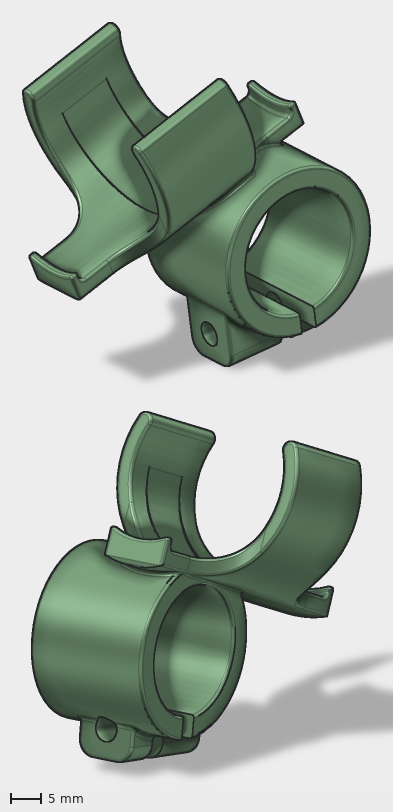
import cadquery as cq
import math

BORE_RADIUS = 11.1
RING_RADIUS = 15.1
RING_WIDTH = 22.75
RING_CENTRE_X = 5.7
RING_EDGE_FILLET = 0.5
CLAMP_TILT = 8.0

SLOT_WIDTH = 3.0
LUG_WIDTH = 11.0
LUG_REACH = 19.7
LUG_CORNER_RADIUS = 3.0
LUG_EDGE_FILLET = 0.5
LUG_ROOT_FILLET = 1.0
FRONT_LUG_THICKNESS = 10.8
BACK_LUG_THICKNESS = 5.8
SCREW_DIAMETER = 4.3
SCREW_REACH = 14.45

CRADLE_TILT = 22.8
CRADLE_RADIUS = 18.0
CRADLE_INNER_RADIUS = 15.1
CRADLE_AXIS_Z = 29.0
CRADLE_CENTRE_Y = -10.05
CRADLE_LENGTH = 51.05
CRADLE_EDGE_FILLET = 0.5
SIDE_WALL_LENGTH = 20.0
WALL_TIP_ANGLE = 25.4
ARM_WIDTH = 12.0
ARM_BLEND_RADIUS = 8.0
ARM_END_FILLET = 1.0

LIP_HEIGHT = 1.85
LIP_THICKNESS = 1.5
LIP_ROOT_FILLET = 1.0

BAND_LENGTH = 10.0
BAND_DEPTH = 0.3
JOINT_FILLET = 0.5

TOLERANCE = 0.001


def tilt(part, angle):
    """Turn a part about the X axis through the ring centre."""
    return part.rotate((0, 0, 0), (1, 0, 0), angle)


def cradle_rod(radius, length, drop=0):
    """Cylinder along the cradle axis, centred on the cradle and lowered by drop."""
    return (
        cq.Workplane("XZ", origin=(0, CRADLE_CENTRE_Y + length / 2, CRADLE_AXIS_Z - drop))
        .circle(radius)
        .extrude(length)
    )


def cradle_box(width, length, bottom, top):
    """Box centred on the cradle in plan; bottom and top are heights above its axis."""
    return (
        cq.Workplane("XY", origin=(0, CRADLE_CENTRE_Y, CRADLE_AXIS_Z + bottom))
        .rect(width, length)
        .extrude(top - bottom)
    )


def cradle_shell():
    """C-shaped tube, open at the top, with fully rounded tips."""
    mid_radius = (CRADLE_RADIUS + CRADLE_INNER_RADIUS) / 2
    tip_radius = (CRADLE_RADIUS - CRADLE_INNER_RADIUS) / 2
    angle = math.radians(WALL_TIP_ANGLE)

    def on_tip_ray(radius):
        return radius * math.cos(angle), radius * math.sin(angle)

    def mirrored(point):
        return -point[0], point[1]

    outer = on_tip_ray(CRADLE_RADIUS)
    inner = on_tip_ray(CRADLE_INNER_RADIUS)
    tip_x, tip_z = on_tip_ray(mid_radius)
    crown = (tip_x - tip_radius * math.sin(angle), tip_z + tip_radius * math.cos(angle))
    return (
        cq.Workplane("XZ", origin=(0, CRADLE_CENTRE_Y + CRADLE_LENGTH / 2, CRADLE_AXIS_Z))
        .moveTo(*outer)
        .threePointArc((0, -CRADLE_RADIUS), mirrored(outer))
        .threePointArc(mirrored(crown), mirrored(inner))
        .threePointArc((0, -CRADLE_INNER_RADIUS), inner)
        .threePointArc(crown, outer)
        .close()
        .extrude(CRADLE_LENGTH)
    )


def cradle_lips():
    """Inward rings at both ends of the shell, with a rounded root."""
    hollow = cradle_rod(CRADLE_INNER_RADIUS, CRADLE_LENGTH - 2 * LIP_THICKNESS)
    hollow = hollow.edges().fillet(LIP_ROOT_FILLET)
    lip_bore = cradle_rod(CRADLE_INNER_RADIUS - LIP_HEIGHT, CRADLE_LENGTH)
    return cradle_rod(CRADLE_INNER_RADIUS, CRADLE_LENGTH).cut(hollow).cut(lip_bore)


def cross_envelope():
    """Cross in plan: two arms along Y that blend into the wider side walls."""
    full_width = 2 * CRADLE_RADIUS
    walls_below_axis = cradle_box(full_width, SIDE_WALL_LENGTH, -CRADLE_RADIUS, 0)
    arms = cradle_box(ARM_WIDTH, CRADLE_LENGTH, -CRADLE_RADIUS, 0)
    inner_corners = cq.selectors.BoxSelector(
        (-ARM_WIDTH, CRADLE_CENTRE_Y - SIDE_WALL_LENGTH, 0),
        (ARM_WIDTH, CRADLE_CENTRE_Y + SIDE_WALL_LENGTH, CRADLE_AXIS_Z),
    )
    cross = walls_below_axis.union(arms).edges("|Z").edges(inner_corners).fillet(ARM_BLEND_RADIUS)
    walls_above_axis = cradle_box(full_width, SIDE_WALL_LENGTH, 0, CRADLE_RADIUS)
    return cross.union(walls_above_axis)


def is_free_edge(edge):
    """True for sharp cradle edges; false for tangent seams and the lower arcs of the arm ends."""
    centre = edge.Center()
    box = edge.BoundingBox()
    lip_top = CRADLE_AXIS_Z - CRADLE_INNER_RADIUS + LIP_HEIGHT
    from_middle = abs(centre.y - CRADLE_CENTRE_Y)
    root_seam_or_end_arc = abs(centre.x) < TOLERANCE and centre.z < lip_top
    upright = box.xlen < TOLERANCE and box.ylen < TOLERANCE
    blend_seam = upright and from_middle < CRADLE_LENGTH / 2 - LIP_THICKNESS - LIP_ROOT_FILLET
    tip_seam = box.ylen > SIDE_WALL_LENGTH - TOLERANCE
    return not (root_seam_or_end_arc or blend_seam or tip_seam)


def make_cradle():
    """Cradle with its axis along Y and all free edges rounded."""
    cradle = cradle_shell().union(cradle_lips()).intersect(cross_envelope())
    cradle = cradle.edges().filter(is_free_edge).fillet(CRADLE_EDGE_FILLET)
    rounded_ends = (
        cradle_box(2 * CRADLE_RADIUS, CRADLE_LENGTH, -CRADLE_RADIUS, CRADLE_RADIUS)
        .faces("<Z")
        .edges("|X")
        .fillet(ARM_END_FILLET)
    )
    return cradle.intersect(rounded_ends)


def make_ring():
    """Closed clamp ring with rounded rims."""
    return (
        cq.Workplane("YZ", origin=(RING_CENTRE_X - RING_WIDTH / 2, 0, 0))
        .circle(RING_RADIUS)
        .circle(BORE_RADIUS)
        .extrude(RING_WIDTH)
        .edges("%CIRCLE")
        .fillet(RING_EDGE_FILLET)
    )


def make_lug_block():
    """One block for both lugs, hollowed where the ring runs."""
    front = -SLOT_WIDTH / 2 - FRONT_LUG_THICKNESS
    back = SLOT_WIDTH / 2 + BACK_LUG_THICKNESS
    ring_middle = (RING_RADIUS + BORE_RADIUS) / 2
    ring_core = (
        cq.Workplane("YZ", origin=(RING_CENTRE_X - RING_WIDTH / 2, 0, 0))
        .circle(ring_middle)
        .extrude(RING_WIDTH)
    )
    block = (
        cq.Workplane("XY", origin=(RING_CENTRE_X, (front + back) / 2, -LUG_REACH))
        .rect(LUG_WIDTH, back - front)
        .extrude(LUG_REACH)
        .edges("|Y and <Z")
        .fillet(LUG_CORNER_RADIUS)
        .faces("<Y or >Y")
        .edges()
        .fillet(LUG_EDGE_FILLET)
    )
    return block.cut(ring_core)


def is_lug_root(edge):
    """True for the edges where the sides of the lugs meet the outside of the ring."""
    side_offset = abs(abs(edge.Center().x - RING_CENTRE_X) - LUG_WIDTH / 2)
    middle = edge.positionAt(0.5)
    return side_offset < LUG_EDGE_FILLET and abs(math.hypot(middle.y, middle.z) - RING_RADIUS) < TOLERANCE


def make_clamp():
    """Split ring with two lugs; the slot points down."""
    clamp = make_ring().union(make_lug_block()).edges().filter(is_lug_root).fillet(LUG_ROOT_FILLET)
    slot = (
        cq.Workplane("XY", origin=(RING_CENTRE_X, 0, -LUG_REACH))
        .rect(RING_WIDTH, SLOT_WIDTH)
        .extrude(LUG_REACH)
    )
    screw_hole = (
        cq.Workplane("XZ", origin=(RING_CENTRE_X, RING_RADIUS, -SCREW_REACH))
        .circle(SCREW_DIAMETER / 2)
        .extrude(2 * RING_RADIUS)
    )
    return clamp.cut(slot).cut(screw_hole)


def join(cradle, clamp):
    """Fuse cradle and clamp and round the joint on the outside of the ring."""
    body = cradle.union(clamp)

    def is_joint(edge):
        middle = edge.positionAt(0.5)
        point = cq.Vertex.makeVertex(*middle.toTuple())
        outside = math.hypot(middle.y, middle.z) > BORE_RADIUS + RING_EDGE_FILLET
        touches_both = max(point.distance(cradle.val()), point.distance(clamp.val())) < TOLERANCE
        return outside and touches_both

    return body.edges().filter(is_joint).fillet(JOINT_FILLET)


def make_holder():
    """Complete part: cradle on the clamp ring, in its final position."""
    seat_space = cradle_rod(CRADLE_INNER_RADIUS, CRADLE_LENGTH - 2 * LIP_THICKNESS - 2 * LIP_ROOT_FILLET)
    body = join(make_cradle(), tilt(make_clamp(), CLAMP_TILT - CRADLE_TILT)).cut(seat_space)
    band = cradle_rod(CRADLE_INNER_RADIUS, BAND_LENGTH, BAND_DEPTH)
    return tilt(body.cut(band), CRADLE_TILT)


result = make_holder()